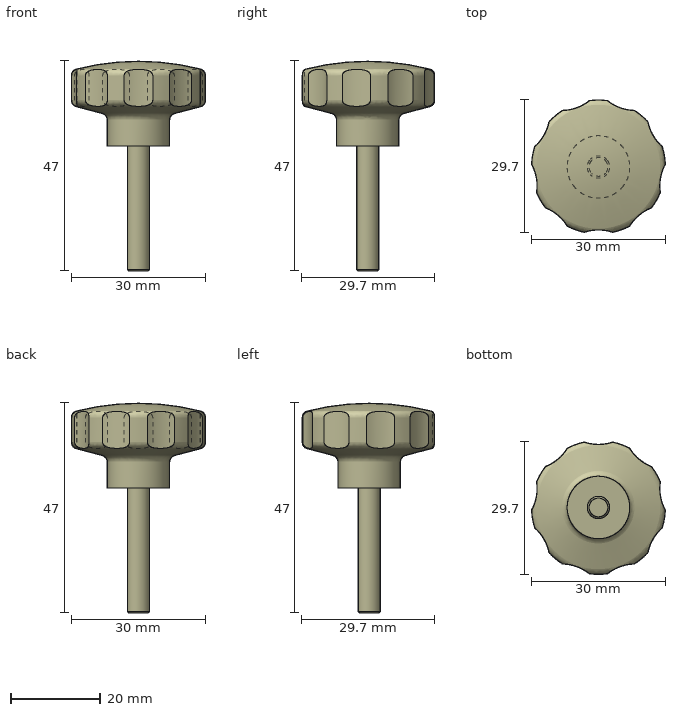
import math
import cadquery as cq

knob_height = 19.0
stud_length = 28.0

head_radius = 15.0
rim_top = 16.95
rim_bottom = 9.1
rim_fillet = 1.5

hub_radius = 7.0
hub_top = 7.0
neck_fillet = 1.5

stud_radius = 2.5
stud_chamfer = 0.4

scallop_count = 9
scallop_half_width = 3.2
scallop_radius = 10.0
first_scallop_angle = -90.0

selection_margin = 0.1


def dome_height(radius):
    """Height of the spherical crown at a given distance from the axis."""
    drop = knob_height - rim_top
    sphere_radius = (head_radius**2 + drop**2) / (2 * drop)
    return knob_height - sphere_radius + math.sqrt(sphere_radius**2 - radius**2)


def edge_circle(body, radius, height):
    """Select the circular edge of the given radius at the given height."""
    reach = radius + selection_margin
    low_corner = (-reach, -reach, height - selection_margin)
    high_corner = (reach, reach, height + selection_margin)
    box = cq.selectors.BoxSelector(low_corner, high_corner, boundingbox=True)
    return body.edges(box).edges("%CIRCLE")


def make_knob():
    """Revolved head and hub, with the rim and the neck rounded."""
    middle_radius = head_radius / 2
    knob = (
        cq.Workplane("XZ")
        .lineTo(hub_radius, 0)
        .lineTo(hub_radius, hub_top)
        .lineTo(head_radius, rim_bottom)
        .lineTo(head_radius, rim_top)
        .threePointArc((middle_radius, dome_height(middle_radius)), (0, knob_height))
        .close()
        .revolve(360, (0, 0), (0, 1))
    )
    knob = edge_circle(knob, head_radius, rim_top).fillet(rim_fillet)
    knob = edge_circle(knob, head_radius, rim_bottom).fillet(rim_fillet)
    return edge_circle(knob, hub_radius, hub_top).fillet(neck_fillet)


def make_scallop_cutters():
    """Vertical cylinders that cut the finger scallops, evenly spaced around the axis."""
    rim_offset = math.sqrt(head_radius**2 - scallop_half_width**2)
    centre_offset = math.sqrt(scallop_radius**2 - scallop_half_width**2)
    return (
        cq.Workplane("XY")
        .polarArray(rim_offset + centre_offset, first_scallop_angle, 360, scallop_count)
        .circle(scallop_radius)
        .extrude(knob_height, combine=False)
    )


def make_stud():
    """Plain stud below the hub, chamfered at its free end."""
    stud = cq.Workplane("XY").circle(stud_radius).extrude(-stud_length)
    return stud.faces("<Z").chamfer(stud_chamfer)


knob = make_knob()
for cutter in make_scallop_cutters().vals():
    knob = knob.cut(cq.Workplane(obj=cutter))
result = knob.union(make_stud())